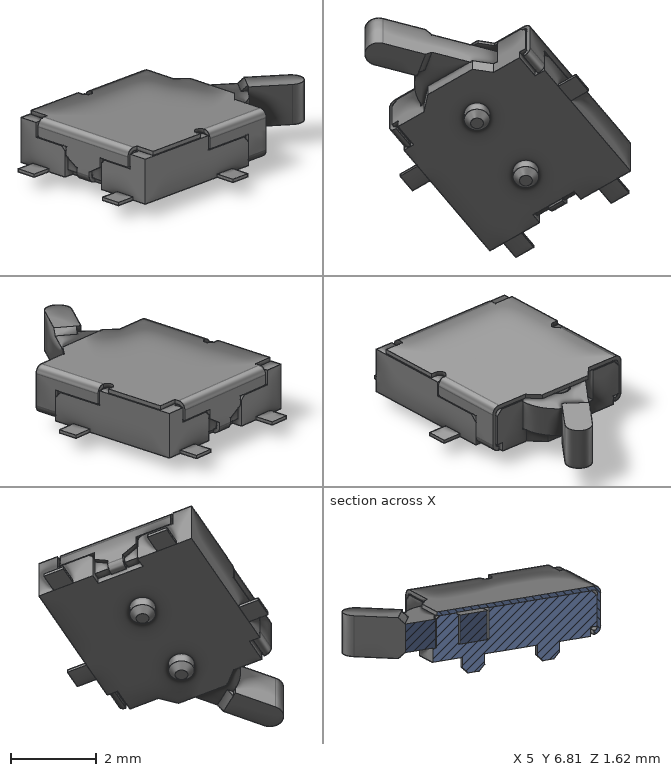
import cadquery as cq
import math


sheet = 0.1
cover_top = 1.225
bend_radius = 0.19
cover_back = 4.1
cover_half_width = 1.96
cover_front_edge = 0.305
nose_root_half = 0.99
cover_nose_half = 0.71
cover_nose_back = 4.385
relief_width = 0.285
relief_y = 2.05
relief_end_x = 1.69
flap_bottom = 0.775
front_flap_half = 1.445
front_tab_half = 0.545
front_hook_half = 0.2
tab_taper_top = 0.545
tab_taper_bottom = 0.335
side_flap_front = relief_y + relief_width / 2
side_leg_front = 3.51
hook_bottom = 0.035

housing_width = 4.0
half_width = housing_width / 2
housing_top = cover_top - sheet
housing_back = 4.14
housing_nose_half = 0.63
housing_nose_back = 4.495
flap_gap = 0.02
front_flap_end_gap = 0.07
side_flap_end_gap = 0.04
front_tab_gap = 0.04
recess_floor = flap_bottom - flap_gap
front_recess_half = front_flap_half + front_flap_end_gap
side_recess_front = side_flap_front - side_flap_end_gap
front_slot_half = front_tab_half + front_tab_gap
front_slot_chamfer = 0.095
side_slot_chamfer = 0.16
rim_chamfer = 0.14
front_undercut_height = 0.165
hook_clearance_height = hook_bottom + bend_radius
undercut_depth = 0.27

pin_diameter = 0.6
pin_length = 0.4
pin_chamfer = 0.15
pin_ys = (1.4, 3.4)

post_diameter = 0.6
post_chamfer = 0.07

terminal_span = 5.0
terminal_width = 0.51
terminal_length = (terminal_span - housing_width) / 2
terminal_thickness = 0.08
front_terminal_x = 1.355
side_terminal_y = 2.7

pivot_y = 4.09
pivot_hole_diameter = 0.64
hub_radius = 1.06
lever_bottom = 0.35
lever_top = 1.055
tip_bottom = 0.2
tip_top = 1.2
arm_width = 0.65
arm_offset = -0.37
tip_center = 2.105
ramp_length = 0.16
ramp_width = 0.54
lever_angle = -37.6
pocket_radius = 1.095


def block(x0, x1, y0, y1, z0, z1):
    return cq.Workplane("XY").box(x1 - x0, y1 - y0, z1 - z0, centered=False).translate((x0, y0, z0))


def mirrored(shape):
    """The shape together with its mirror image across X = 0."""
    return shape.union(shape.mirror("YZ"))


def both_edges(right_edge):
    """Closed outline symmetric about X = 0, from the points of its right side."""
    return right_edge + [(-x, v) for x, v in reversed(right_edge)]


def bent_strip(plane):
    """Sheet profile (inward distance, height): top bend, upright wall, bottom hook."""
    inner = bend_radius - sheet
    diagonal = math.sqrt(0.5)
    top_center = cover_top - bend_radius
    low_center = hook_bottom + bend_radius
    outer_inset = bend_radius * (1 - diagonal)
    outer_rise = bend_radius * diagonal
    inner_inset = bend_radius - inner * diagonal
    inner_rise = inner * diagonal
    return (
        plane.moveTo(bend_radius, cover_top)
        .threePointArc((outer_inset, top_center + outer_rise), (0, top_center))
        .lineTo(0, low_center)
        .threePointArc((outer_inset, low_center - outer_rise), (bend_radius, hook_bottom))
        .lineTo(bend_radius, hook_bottom + sheet)
        .threePointArc((inner_inset, low_center - inner_rise), (sheet, low_center))
        .lineTo(sheet, top_center)
        .threePointArc((inner_inset, top_center + inner_rise), (bend_radius, housing_top))
        .close()
    )


def front_flap():
    strip = bent_strip(cq.Workplane("YZ")).extrude(front_flap_half, both=True)
    right_edge = [
        (front_flap_half, cover_top),
        (front_flap_half, flap_bottom),
        (front_tab_half, flap_bottom),
        (front_tab_half, tab_taper_top),
        (front_hook_half, tab_taper_bottom),
        (front_hook_half, 0),
    ]
    outline = cq.Workplane("XZ").polyline(both_edges(right_edge)).close().extrude(-bend_radius)
    return strip.intersect(outline)


def side_flap():
    plane = cq.Workplane("XZ", origin=(-half_width, cover_back, 0))
    strip = bent_strip(plane).extrude(cover_back - side_flap_front)
    below_flap = block(-half_width, 0, side_flap_front, side_leg_front, 0, flap_bottom)
    return strip.cut(below_flap)


def cover_plate():
    flap_line = half_width - bend_radius
    right_edge = [
        (front_flap_half, bend_radius),
        (front_flap_half, cover_front_edge),
        (cover_half_width, cover_front_edge),
        (cover_half_width, relief_y),
        (flap_line, relief_y),
        (flap_line, cover_back),
        (nose_root_half, cover_back),
        (cover_nose_half, cover_nose_back),
    ]
    outline = cq.Workplane("XY", origin=(0, 0, housing_top)).polyline(both_edges(right_edge)).close()
    relief_length = 2 * (half_width - relief_end_x)
    reliefs = (
        cq.Workplane("XY", origin=(0, 0, housing_top))
        .pushPoints([(-half_width, relief_y), (half_width, relief_y)])
        .slot2D(relief_length, relief_width)
        .extrude(sheet)
    )
    return outline.extrude(sheet).cut(reliefs)


def make_cover():
    return cover_plate().union(front_flap()).union(mirrored(side_flap()))


def housing_block():
    body = block(-half_width, half_width, 0, housing_back, 0, housing_top)
    nose_rise = housing_nose_back - housing_back
    nose = (
        cq.Workplane("XY")
        .polyline([
            (-housing_nose_half - nose_rise, housing_back),
            (-housing_nose_half, housing_nose_back),
            (housing_nose_half, housing_nose_back),
            (housing_nose_half + nose_rise, housing_back),
        ])
        .close()
        .extrude(lever_bottom)
    )
    return body.union(nose)


def front_recess():
    right_edge = [
        (front_recess_half, housing_top),
        (front_recess_half, recess_floor),
        (front_slot_half + front_slot_chamfer, recess_floor),
        (front_slot_half, recess_floor - front_slot_chamfer),
        (front_slot_half, 0),
    ]
    recess = cq.Workplane("XZ").polyline(both_edges(right_edge)).close().extrude(-sheet)
    rim = (
        cq.Workplane("YZ")
        .polyline([
            (sheet, housing_top),
            (sheet + rim_chamfer, housing_top),
            (sheet, housing_top - rim_chamfer),
        ])
        .close()
        .extrude(front_recess_half, both=True)
    )
    undercut = block(-front_slot_half, front_slot_half, 0, undercut_depth, 0, front_undercut_height)
    hook_clearance = block(-front_hook_half, front_hook_half, 0, undercut_depth, 0, hook_clearance_height)
    return recess.union(rim).union(undercut).union(hook_clearance)


def side_recess():
    recess = (
        cq.Workplane("YZ", origin=(-half_width, 0, 0))
        .polyline([
            (side_recess_front, housing_top),
            (side_recess_front, recess_floor),
            (side_leg_front - side_slot_chamfer, recess_floor),
            (side_leg_front, recess_floor - side_slot_chamfer),
            (side_leg_front, 0),
            (housing_back, 0),
            (housing_back, housing_top),
        ])
        .close()
        .extrude(sheet)
    )
    wall = sheet - half_width
    rim = (
        cq.Workplane("XZ", origin=(0, housing_back, 0))
        .polyline([
            (wall, housing_top),
            (wall + rim_chamfer, housing_top),
            (wall, housing_top - rim_chamfer),
        ])
        .close()
        .extrude(housing_back - side_recess_front)
    )
    hook_clearance = block(
        -half_width, undercut_depth - half_width, side_leg_front, housing_back, 0, hook_clearance_height
    )
    return recess.union(rim).union(hook_clearance)


def lever_pocket():
    return (
        cq.Workplane("XY", origin=(0, pivot_y, lever_bottom))
        .circle(pocket_radius)
        .extrude(housing_top - lever_bottom)
    )


def pivot_post():
    return (
        cq.Workplane("XY", origin=(0, pivot_y, lever_bottom))
        .circle(post_diameter / 2)
        .extrude(housing_top - lever_bottom)
        .faces(">Z")
        .chamfer(post_chamfer)
    )


def locating_pins():
    return (
        cq.Workplane("XY")
        .pushPoints([(0, y) for y in pin_ys])
        .circle(pin_diameter / 2)
        .extrude(-pin_length)
        .faces("<Z")
        .chamfer(pin_chamfer)
    )


def make_housing():
    housing = housing_block().cut(front_recess()).cut(mirrored(side_recess())).cut(lever_pocket())
    return housing.union(pivot_post()).union(locating_pins())


def make_lever():
    """Lever built pointing along +Y with its pivot at the origin, then turned into place."""
    arm_left = arm_offset - arm_width / 2
    arm_right = arm_offset + arm_width / 2
    thickness = lever_top - lever_bottom
    hub = cq.Workplane("XY", origin=(0, 0, lever_bottom)).circle(hub_radius).extrude(thickness)
    hub = hub.cut(block(-hub_radius, arm_left, -hub_radius, hub_radius, lever_bottom, lever_top))
    arm = block(arm_left, arm_right, 0, hub_radius, lever_bottom, lever_top)
    tip = (
        cq.Workplane("XY", origin=(0, 0, tip_bottom))
        .moveTo(arm_left, hub_radius)
        .lineTo(arm_left, tip_center)
        .threePointArc((arm_offset, tip_center + arm_width / 2), (arm_right, tip_center))
        .lineTo(arm_right, hub_radius)
        .close()
        .extrude(tip_top - tip_bottom)
    )
    ramps = (
        cq.Workplane("YZ", origin=(arm_left, 0, 0))
        .polyline([
            (hub_radius, tip_top),
            (hub_radius - ramp_length, lever_top),
            (hub_radius - ramp_length, lever_bottom),
            (hub_radius, tip_bottom),
        ])
        .close()
        .extrude(ramp_width)
    )
    pivot_hole = (
        cq.Workplane("XY", origin=(0, 0, lever_bottom))
        .circle(pivot_hole_diameter / 2)
        .extrude(thickness)
    )
    lever = hub.union(arm).cut(pivot_hole).union(tip).union(ramps)
    return lever.rotate((0, 0, 0), (0, 0, 1), lever_angle).translate((0, pivot_y, 0))


def make_front_terminal(x):
    left = x - terminal_width / 2
    return block(left, left + terminal_width, -terminal_length, 0, 0, terminal_thickness)


def make_side_terminal(side):
    front = side_terminal_y - terminal_width / 2
    inner_end, outer_end = half_width, half_width + terminal_length
    x0, x1 = sorted((side * inner_end, side * outer_end))
    return block(x0, x1, front, front + terminal_width, 0, terminal_thickness)


housing = make_housing()
cover = make_cover()
lever = make_lever()
terminals = []
for side in (-1, 1):
    terminals.append(make_front_terminal(side * front_terminal_x))
    terminals.append(make_side_terminal(side))

result = cq.Compound.makeCompound(
    [housing.val(), cover.val(), lever.val(), *[terminal.val() for terminal in terminals]]
)